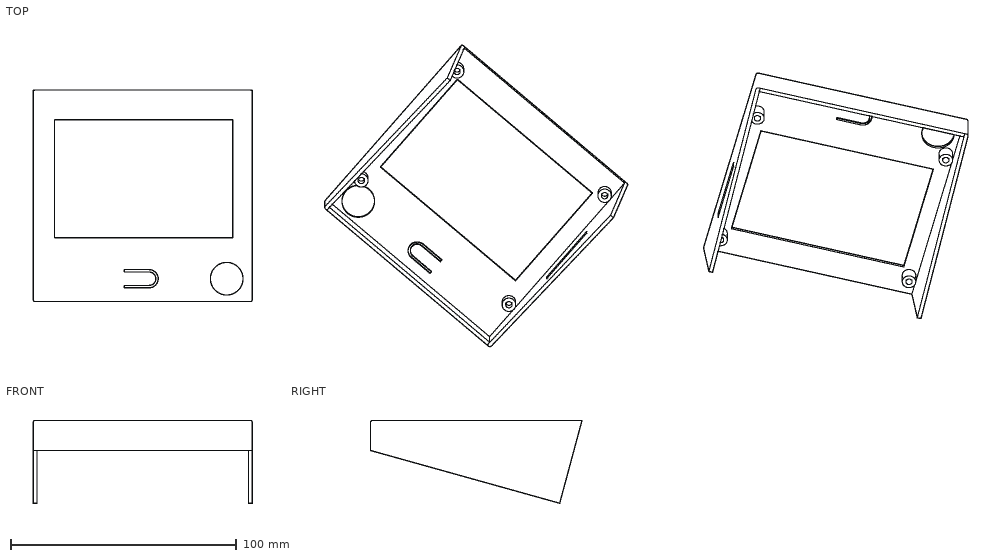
import cadquery as cq

width = 97.4
depth = 94.1
height = 36.9
front_height = 13.4
rear_overhang = 9.9
wall = 1.8
plate = 1.5
edge_radius = 1.0

window_width = 79.1
window_depth = 52.4
window_center_x = 49.1
window_front = 28.4

controls_y = 10.2
button_x = 86.0
button_diameter = 14.4
tongue_root_x = 40.5
tongue_tip_center_x = 51.5
tongue_width = 6.0
tongue_gap = 1.0

slot_front = 40.6
slot_length = 27.3
slot_height = 3.7
slot_top = 12.9

post_diameter = 6.0
post_bore = 2.8
post_bottom = 7.0
post_inset_x = 5.5
post_rows_y = (19.2, 84.4)


def make_shell():
    """Wedge-shaped cover, open at the rear and underneath."""
    outline = [(0, 0), (depth, 0), (depth - rear_overhang, -height), (0, -front_height)]
    body = cq.Workplane("YZ").polyline(outline).close().extrude(width)
    top_edges = body.edges("(>Z and <X) or (>Z and >X) or (>Z and <Y)")
    front_corners = body.faces("<Y").edges("|Z")
    body = body.newObject(top_edges.vals() + front_corners.vals()).fillet(edge_radius)
    cavity = (
        cq.Workplane("XY")
        .box(width - 2 * wall, depth, height, centered=False)
        .translate((wall, wall, -plate - height))
    )
    below_front = (
        cq.Workplane("XY")
        .box(width - 2 * wall, wall, height, centered=False)
        .translate((wall, 0, -front_height - height))
    )
    return body.cut(cavity).cut(below_front)


def make_posts():
    """Screw posts with blind bores that stop at the underside of the plate."""
    centers = [(x, y) for x in (post_inset_x, width - post_inset_x) for y in post_rows_y]
    return (
        cq.Workplane("XY", origin=(0, 0, -post_bottom))
        .pushPoints(centers)
        .circle(post_diameter / 2)
        .circle(post_bore / 2)
        .extrude(post_bottom - plate)
    )


def make_window():
    return (
        cq.Workplane("XY")
        .center(window_center_x, window_front + window_depth / 2)
        .rect(window_width, window_depth)
        .extrude(-plate)
    )


def make_button_hole():
    return (
        cq.Workplane("XY")
        .center(button_x, controls_y)
        .circle(button_diameter / 2)
        .extrude(-plate)
    )


def round_ended_strip(strip_width):
    """Strip from the tongue root to a full round tip, as deep as the plate."""
    radius = strip_width / 2
    return (
        cq.Workplane("XY")
        .moveTo(tongue_root_x, controls_y - radius)
        .lineTo(tongue_tip_center_x, controls_y - radius)
        .threePointArc(
            (tongue_tip_center_x + radius, controls_y),
            (tongue_tip_center_x, controls_y + radius),
        )
        .lineTo(tongue_root_x, controls_y + radius)
        .close()
        .extrude(-plate)
    )


def make_tongue_gap():
    """U-shaped gap that frees the tongue on three sides."""
    outer = round_ended_strip(tongue_width + 2 * tongue_gap)
    return outer.cut(round_ended_strip(tongue_width))


def make_card_slot():
    return (
        cq.Workplane("XY")
        .box(wall, slot_length, slot_height, centered=False)
        .translate((0, slot_front, -slot_top - slot_height))
    )


result = (
    make_shell()
    .union(make_posts())
    .cut(make_window())
    .cut(make_button_hole())
    .cut(make_tongue_gap())
    .cut(make_card_slot())
)